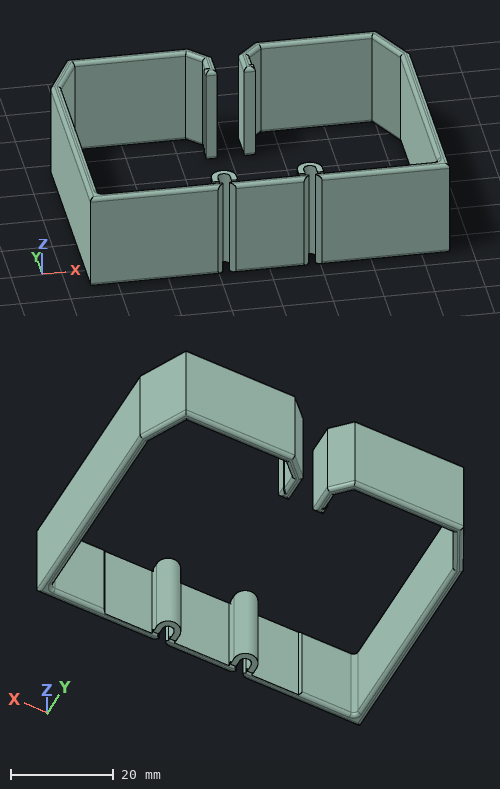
import cadquery as cq
import math

WIDTH = 71.0
DEPTH = 52.6
HEIGHT = 20.0

WALL = 2.0
RIM_RADIUS = 0.8
CORNER_RADIUS = 1.0
SHOULDER_X = 5.0
SHOULDER_Y = 9.6

OPENING = 5.25
LIP_SLOPE = 4.0
LIP_DEPTH = 10.0
HOOK_LENGTH = 2.0
HOOK_STEP = 0.3

THIN_WALL = 1.5
RELIEF_DEPTH = WALL - THIN_WALL
RELIEF_WIDTH = 43.45

LOOP_SPACING = 17.0
LOOP_OUTER_RADIUS = 2.5
LOOP_INNER_RADIUS = 1.2
LOOP_LEG = 1.5
SLOT_THROAT = 1.3
THROAT_Y = 1.15

LOOP_CENTRES = (-LOOP_SPACING / 2, LOOP_SPACING / 2)


def mirrored(points):
    """Append the mirror image of a right-hand path, walked backwards."""
    return points + [(-x, y) for x, y in reversed(points)]


def inset(path, distance):
    """Shift an open path to the right of its direction, keeping mitred corners."""
    normals = []
    for (x0, y0), (x1, y1) in zip(path, path[1:]):
        length = math.hypot(x1 - x0, y1 - y0)
        normals.append(((y1 - y0) / length, (x0 - x1) / length))
    before = [normals[0]] + normals
    after = normals + [normals[-1]]
    shifted = []
    for (x, y), (ax, ay), (bx, by) in zip(path, before, after):
        reach = distance / (1 + ax * bx + ay * by)
        shifted.append((x + reach * (ax + bx), y + reach * (ay + by)))
    return shifted


def prism(points):
    return cq.Workplane("XY").polyline(points).close().extrude(HEIGHT)


def round_rims(body):
    return body.faces("<Z or >Z").edges().fillet(RIM_RADIUS)


def band():
    lip_x = OPENING / 2
    side_x = WIDTH / 2
    right_half = [
        (lip_x, DEPTH - LIP_DEPTH),
        (lip_x, DEPTH - LIP_SLOPE),
        (lip_x + LIP_SLOPE, DEPTH),
        (side_x - SHOULDER_X, DEPTH),
        (side_x, DEPTH - SHOULDER_Y),
        (side_x, 0),
    ]
    outer = mirrored(right_half)
    body = prism(outer + inset(outer, WALL)[::-1])
    for side in (-1, 1):
        corner = (side * (side_x - WALL), WALL, HEIGHT / 2)
        body = body.edges(cq.selectors.NearestToPointSelector(corner)).fillet(CORNER_RADIUS)
    return round_rims(body)


def hook(side):
    hook_width = WALL + HOOK_STEP
    block = cq.Workplane("XY").box(hook_width, HOOK_LENGTH, HEIGHT, centered=(True, False, False))
    block = round_rims(block)
    return block.translate((side * (OPENING + hook_width) / 2, DEPTH - LIP_DEPTH, 0))


def front_relief():
    """Material removed behind the front wall, leaving it whole under the loops."""
    half = RELIEF_WIDTH / 2
    relief = prism([
        (-half, WALL),
        (half, WALL),
        (half - RELIEF_DEPTH, THIN_WALL),
        (RELIEF_DEPTH - half, THIN_WALL),
    ])
    for x in LOOP_CENTRES:
        kept = cq.Workplane("XY").box(2 * LOOP_OUTER_RADIUS, 2 * WALL, HEIGHT, centered=(True, True, False))
        relief = relief.cut(kept.translate((x, WALL, 0)))
    return relief


def arch(x, radius, base_y):
    arc_y = WALL + LOOP_LEG
    return (
        cq.Workplane("XY")
        .moveTo(x - radius, base_y)
        .lineTo(x - radius, arc_y)
        .threePointArc((x, arc_y + radius), (x + radius, arc_y))
        .lineTo(x + radius, base_y)
        .close()
        .extrude(HEIGHT)
    )


def slot(x):
    """Passage inside the loop, narrowing to the throat and flaring at the outer face."""
    half_throat = SLOT_THROAT / 2
    half_mouth = half_throat + THROAT_Y
    flare = prism([
        (x - half_mouth, 0),
        (x - half_throat, THROAT_Y),
        (x - LOOP_INNER_RADIUS, THIN_WALL),
        (x + LOOP_INNER_RADIUS, THIN_WALL),
        (x + half_throat, THROAT_Y),
        (x + half_mouth, 0),
    ])
    return flare.union(arch(x, LOOP_INNER_RADIUS, THIN_WALL))


result = band().cut(front_relief())
for lip_side in (-1, 1):
    result = result.union(hook(lip_side))
for loop_x in LOOP_CENTRES:
    result = result.union(arch(loop_x, LOOP_OUTER_RADIUS, WALL)).cut(slot(loop_x))